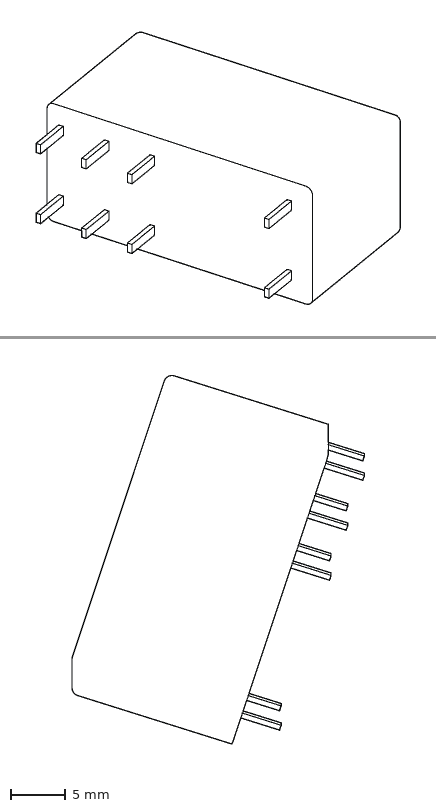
import cadquery as cq

length = 29.0
height = 12.7
total_depth = 19.6
pin_length = 3.92
body_depth = total_depth - pin_length
edge_radius = 0.75

pin_width = 0.5
pin_height = 1.0
first_pin_inset = 1.55
pin_pitch = 5.0
pin_steps = [0, 1, 2, 5]
row_spacing = 7.5


def make_body():
    """Housing rounded everywhere except around the pin face."""
    body = cq.Workplane("XY").box(length, body_depth, height, centered=(True, False, True))
    return body.edges("|Y or >Y").fillet(edge_radius)


def make_pins():
    """Two rows of pins projecting toward -Y from the pin face."""
    first_x = -length / 2 + first_pin_inset
    centres = [
        (first_x + step * pin_pitch, side * row_spacing / 2)
        for step in pin_steps
        for side in (-1, 1)
    ]
    return cq.Workplane("XZ").pushPoints(centres).rect(pin_width, pin_height).extrude(pin_length)


result = make_body().union(make_pins())